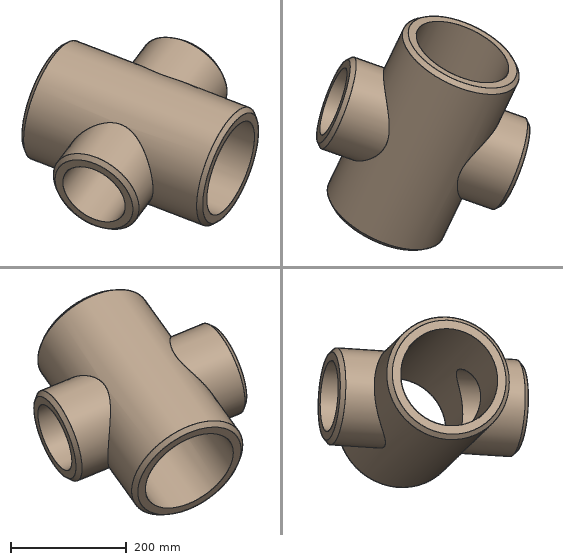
import cadquery as cq

run_length = 355.5
run_outer_diameter = 219.0
run_bore_diameter = 173.0

branch_length = 336.5
branch_outer_diameter = 168.5
branch_bore_diameter = 122.7

bevel_axial = 8.0
bevel_radial = 8.0


def beveled_bar(length, diameter):
    """Solid round bar along X, centred on the origin, with both ends beveled."""
    half = length / 2
    radius = diameter / 2
    return (
        cq.Workplane("XY")
        .moveTo(-half, 0)
        .lineTo(-half, radius - bevel_radial)
        .lineTo(-half + bevel_axial, radius)
        .lineTo(half - bevel_axial, radius)
        .lineTo(half, radius - bevel_radial)
        .lineTo(half, 0)
        .close()
        .revolve(360, (0, 0, 0), (1, 0, 0))
    )


def bore(length, diameter):
    """Round through-hole cutter along X, centred on the origin."""
    return cq.Workplane("YZ").circle(diameter / 2).extrude(length / 2, both=True)


def turn_to_y(body):
    """Turn a body lying along X so that it lies along Y."""
    return body.rotate((0, 0, 0), (0, 0, 1), 90)


run = beveled_bar(run_length, run_outer_diameter)
branches = turn_to_y(beveled_bar(branch_length, branch_outer_diameter))
run_bore = bore(run_length, run_bore_diameter)
branch_bore = turn_to_y(bore(branch_length, branch_bore_diameter))

result = run.union(branches).cut(run_bore).cut(branch_bore)